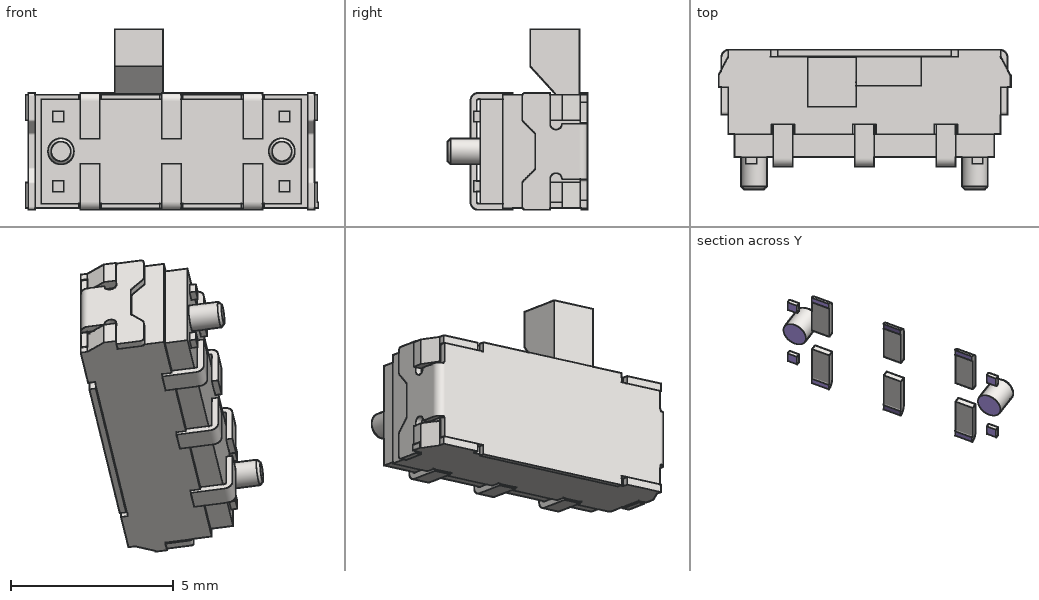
import cadquery as cq


cover_sheet = 0.22
terminal_sheet = 0.2
bend_outer = 0.25
metal_half_height = 1.8

housing_half_width = 4.185
housing_half_height = 1.75
housing_front = 2.6
recess_depth = cover_sheet
recess_half_height = 1.5
lip_recess_half_width = 2.88

wedge_tip = 4.48
wedge_flat_start = 0.78
wedge_front = 1.15
wedge_inner_z = 0.95
ridge_tip = 4.52
ridge_height = 0.19

slot_half_length = 1.75
slot_front = 1.11
slot_floor_z = 1.25
knob_width = 1.49
knob_back = 0.24
knob_head_front = 1.76
knob_stem_front = 1.0
knob_top = 3.75
knob_slope_top = 2.61
knob_slope_bottom = 1.77

cover_half_width = housing_half_width + cover_sheet
lip_half_width = 2.66
lip_sheet = 0.2
strap_half_height = 0.855
strap_root_radius = 0.1
plate_half_width = cover_half_width - bend_outer
arm_front = 2.01
arm_notch_depth = 0.405
arm_notch_half_opening = 0.945
arm_notch_half_floor = arm_notch_half_opening - arm_notch_depth
arm_corner_radius = 0.1

base_half_width = 4.0
base_half_height = metal_half_height - terminal_sheet
base_front = 3.3
post_x = 3.39
post_diameter = 0.8
post_front = 4.3
post_chamfer = 0.1
standoff_x = 3.47
standoff_z = 1.07
standoff_size = 0.33
standoff_height = 0.2

terminal_pitch = 2.5
terminal_width = 0.6
terminal_back = 2.295
terminal_front = 3.6
terminal_leg_end_z = 0.39
terminal_slot_width = 0.7
terminal_positions = [-terminal_pitch, 0, terminal_pitch]


def block(x_range, depth_range, z_range):
    """Box between two X values, two depths behind the back face and two Z values."""
    return (
        cq.Workplane("XY")
        .box(
            x_range[1] - x_range[0],
            depth_range[1] - depth_range[0],
            z_range[1] - z_range[0],
            centered=False,
        )
        .translate((x_range[0], -depth_range[1], z_range[0]))
    )


def centered_block(half_width, depth_range, half_height):
    """Box that is symmetric about X = 0 and Z = 0."""
    return block((-half_width, half_width), depth_range, (-half_height, half_height))


def side_profile(points, x_start, x_end):
    """Outline of (depth, z) points, extruded from x_start to x_end."""
    return (
        cq.Workplane("YZ", origin=(x_start, 0, 0))
        .polyline([(-depth, z) for depth, z in points])
        .close()
        .extrude(x_end - x_start)
    )


def make_wedge():
    """Upper snap wedge of the +X end: it rises from the back to a flat tip."""
    outline = [
        (housing_half_width, -recess_depth),
        (wedge_tip, -wedge_flat_start),
        (wedge_tip, -wedge_front),
        (housing_half_width, -wedge_front),
    ]
    return (
        cq.Workplane("XY", origin=(0, 0, wedge_inner_z))
        .polyline(outline)
        .close()
        .extrude(housing_half_height - wedge_inner_z)
    )


def make_housing():
    housing = centered_block(housing_half_width, (0, housing_front), housing_half_height)

    housing = housing.cut(centered_block(housing_half_width, (0, recess_depth), recess_half_height))
    housing = housing.cut(
        centered_block(lip_recess_half_width, (0, recess_depth), housing_half_height)
    )

    housing = housing.cut(
        block(
            (-slot_half_length, slot_half_length),
            (recess_depth, slot_front),
            (slot_floor_z, housing_half_height),
        )
    )

    terminal_slot = centered_block(
        terminal_slot_width / 2, (terminal_back, housing_front), housing_half_height
    )
    for x in terminal_positions:
        housing = housing.cut(terminal_slot.translate((x, 0, 0)))

    upper_wedge = make_wedge()
    lower_wedge = upper_wedge.mirror("XY")
    for wedge in (upper_wedge, lower_wedge):
        housing = housing.union(wedge).union(wedge.mirror("YZ"))

    ridge = block(
        (wedge_tip, ridge_tip),
        (wedge_flat_start, wedge_front),
        (-housing_half_height, ridge_height - housing_half_height),
    )
    return housing.union(ridge)


def make_arm_window():
    """Opening for the upper wedge of the +X end, ending in a round relief below the strap edge."""
    window_z = (strap_half_height, metal_half_height)
    window = block((housing_half_width, cover_half_width), (0, wedge_front), window_z)
    relief = (
        cq.Workplane("YZ", origin=(housing_half_width, 0, 0))
        .center(-(wedge_front + wedge_flat_start) / 2, strap_half_height)
        .circle((wedge_front - wedge_flat_start) / 2)
        .extrude(cover_sheet)
    )
    plate_end = block((plate_half_width, cover_half_width), (0, cover_sheet), window_z)
    plate_end = plate_end.edges("|Y and <X and <Z").fillet(strap_root_radius)
    return window.union(relief).union(plate_end)


def make_arm_notch():
    """Tapered notch in the front edge of the +X arm."""
    return side_profile(
        [
            (arm_front, arm_notch_half_opening),
            (arm_front - arm_notch_depth, arm_notch_half_floor),
            (arm_front - arm_notch_depth, -arm_notch_half_floor),
            (arm_front, -arm_notch_half_opening),
        ],
        housing_half_width,
        cover_half_width,
    )


def make_cover():
    cover = centered_block(cover_half_width, (0, arm_front), metal_half_height)
    cover = cover.edges("|Z and >Y").fillet(bend_outer)
    cover = cover.cut(
        centered_block(housing_half_width, (cover_sheet, arm_front), metal_half_height)
    )

    upper_window = make_arm_window()
    notch = make_arm_notch()
    for opening in (upper_window, upper_window.mirror("XY"), notch):
        cover = cover.cut(opening).cut(opening.mirror("YZ"))

    beside_lip = block(
        (lip_half_width, housing_half_width),
        (0, cover_sheet),
        (recess_half_height, metal_half_height),
    )
    lip_front = block(
        (-lip_half_width, lip_half_width),
        (lip_sheet, cover_sheet),
        (recess_half_height, metal_half_height),
    )
    for cut in (beside_lip, beside_lip.mirror("YZ"), lip_front):
        cover = cover.cut(cut).cut(cut.mirror("XY"))

    front_corners = cq.selectors.BoxSelector(
        (-cover_half_width, -arm_front - cover_sheet, -metal_half_height - cover_sheet),
        (cover_half_width, -wedge_front - cover_sheet, metal_half_height + cover_sheet),
    )
    return cover.edges("|X").edges(front_corners).fillet(arm_corner_radius)


def make_knob():
    return side_profile(
        [
            (knob_back, slot_floor_z),
            (knob_back, knob_top),
            (knob_head_front, knob_top),
            (knob_head_front, knob_slope_top),
            (knob_stem_front, knob_slope_bottom),
            (knob_stem_front, slot_floor_z),
        ],
        -slot_half_length,
        knob_width - slot_half_length,
    )


def make_base():
    base = centered_block(base_half_width, (housing_front, base_front), base_half_height)
    post = (
        cq.Workplane("XZ", origin=(0, -base_front, 0))
        .circle(post_diameter / 2)
        .extrude(post_front - base_front)
        .faces("<Y")
        .chamfer(post_chamfer)
    )
    standoff = centered_block(
        standoff_size / 2, (base_front, base_front + standoff_height), standoff_size / 2
    )
    for side in (-1, 1):
        base = base.union(post.translate((side * post_x, 0, 0)))
        for level in (-1, 1):
            base = base.union(standoff.translate((side * standoff_x, 0, level * standoff_z)))
    return base


def make_terminal(x):
    """C-shaped strip: a web behind the base, and legs folded over it and down its front."""
    half_width = terminal_width / 2
    outer = centered_block(half_width, (terminal_back, terminal_front), metal_half_height)
    outer = outer.edges("|X and <Y").fillet(bend_outer)
    inner = centered_block(
        half_width, (terminal_back + terminal_sheet, terminal_front - terminal_sheet), base_half_height
    )
    inner = inner.edges("|X and <Y").fillet(bend_outer - terminal_sheet)
    leg_gap = centered_block(
        half_width, (terminal_front - terminal_sheet, terminal_front), terminal_leg_end_z
    )
    return outer.cut(inner).cut(leg_gap).translate((x, 0, 0))


housing = make_housing()
cover = make_cover()
knob = make_knob()
base = make_base()
terminals = [make_terminal(x) for x in terminal_positions]

result = cq.Compound.makeCompound(
    [
        housing.val(),
        cover.val(),
        knob.val(),
        base.val(),
        *[terminal.val() for terminal in terminals],
    ]
)